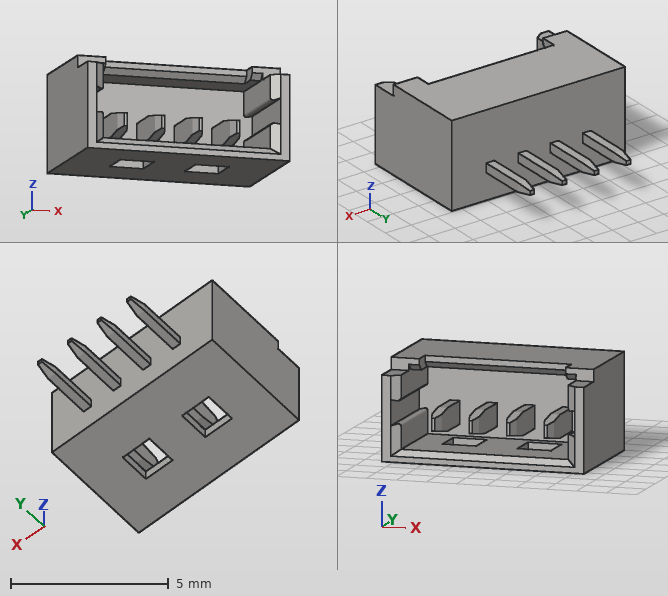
import cadquery as cq

BODY_WIDTH = 6.75
BODY_DEPTH = 4.2
BODY_HEIGHT = 3.2

SIDE_WALL = 0.59
FLOOR = 0.4
ROOF = 0.4
CAVITY_DEPTH = 2.95
LEAD_IN = 0.2
SIDE_LEAD_IN = 0.28
CAVITY_WIDTH = BODY_WIDTH - 2 * SIDE_WALL
CAVITY_TOP = BODY_HEIGHT - ROOF

STEP_DEPTH = 1.0
NOTCH_WIDTH = 4.88
NOTCH_DEPTH = 1.6

GROOVE_DEPTH = SIDE_LEAD_IN
GROOVE_BOTTOM = 1.18
GROOVE_TOP = 2.02
GROOVE_TAPER = 0.05
LIP_RADIUS = 0.09

WINDOW_SIZE = 1.12
WINDOW_FRONT = 1.45

PIN_COUNT = 4
PITCH = 1.25
PIN_THICKNESS = 0.32
PIN_Z = 1.155
BLADE_HEIGHT = 0.76
BLADE_TIP_Y = 0.7
BLADE_TIP_THICKNESS = 0.1
BLADE_TIP_HEIGHT = 0.42
BLADE_SIDE_TAPER = 0.38
BLADE_TOP_TAPER = 1.0
TAIL_HEIGHT = 0.34
TAIL_END_Y = 6.5
TAIL_TAPER = 0.57
TAIL_TIP_THICKNESS = 0.17
TAIL_TIP_HEIGHT = 0.15


def block(width, y_start, y_end, z_start, z_end, x_center=0):
    """Box centred on x_center, spanning the given Y and Z ranges."""
    box = cq.Workplane("XY").box(width, y_end - y_start, z_end - z_start, centered=(True, False, False))
    return box.translate((x_center, y_start, z_start))


def extrude_along_x(points, width):
    """Prism centred on X = 0 from a (Y, Z) outline."""
    return cq.Workplane("YZ").polyline(points).close().extrude(width / 2, both=True)


def extrude_along_z(points, z_start, z_end):
    """Prism between two heights from an (X, Y) outline."""
    return cq.Workplane("XY").workplane(offset=z_start).polyline(points).close().extrude(z_end - z_start)


def roof_lead_in(width, edge_y):
    """Wedge that bevels the lower front edge of the roof at edge_y."""
    return extrude_along_x(
        [(edge_y, CAVITY_TOP), (edge_y, CAVITY_TOP + LEAD_IN), (edge_y + LEAD_IN, CAVITY_TOP)],
        width,
    )


def mouth_lead_in():
    """Flared mouth: bevels both side walls and the floor, meeting in mitred corners."""
    inner_x = CAVITY_WIDTH / 2
    outer_x = inner_x + SIDE_LEAD_IN
    mouth = (
        cq.Workplane("XZ")
        .moveTo(-outer_x, FLOOR - LEAD_IN)
        .lineTo(outer_x, FLOOR - LEAD_IN)
        .lineTo(outer_x, CAVITY_TOP)
        .lineTo(-outer_x, CAVITY_TOP)
        .close()
        .workplane(offset=-LEAD_IN)
        .moveTo(-inner_x, FLOOR)
        .lineTo(inner_x, FLOOR)
        .lineTo(inner_x, CAVITY_TOP)
        .lineTo(-inner_x, CAVITY_TOP)
        .close()
    )
    return mouth.loft(ruled=True)


def side_groove():
    """Groove in the +X side wall, narrowing slightly towards its rounded lips."""
    wall_x = CAVITY_WIDTH / 2
    bottom_x = wall_x + GROOVE_DEPTH
    lip_x = wall_x + LIP_RADIUS
    lip_low = GROOVE_BOTTOM + GROOVE_TAPER
    lip_high = GROOVE_TOP - GROOVE_TAPER
    outline = (
        cq.Workplane("XZ")
        .moveTo(bottom_x, GROOVE_BOTTOM)
        .lineTo(bottom_x, GROOVE_TOP)
        .lineTo(lip_x, lip_high)
        .radiusArc((wall_x, lip_high + LIP_RADIUS), LIP_RADIUS)
        .lineTo(wall_x, lip_low - LIP_RADIUS)
        .radiusArc((lip_x, lip_low), LIP_RADIUS)
        .close()
    )
    return outline.extrude(-CAVITY_DEPTH)


def make_housing():
    body = block(BODY_WIDTH, 0, BODY_DEPTH, 0, BODY_HEIGHT)
    body = body.cut(block(CAVITY_WIDTH, 0, CAVITY_DEPTH, FLOOR, CAVITY_TOP))
    body = body.cut(block(BODY_WIDTH, 0, STEP_DEPTH, CAVITY_TOP, BODY_HEIGHT))
    body = body.cut(block(NOTCH_WIDTH, 0, NOTCH_DEPTH, CAVITY_TOP, BODY_HEIGHT))
    body = body.cut(roof_lead_in(CAVITY_WIDTH, STEP_DEPTH))
    body = body.cut(roof_lead_in(NOTCH_WIDTH, NOTCH_DEPTH))
    body = body.cut(mouth_lead_in())
    groove = side_groove()
    body = body.cut(groove).cut(groove.mirror("YZ"))
    for window_x in (-PITCH, PITCH):
        window = block(WINDOW_SIZE, WINDOW_FRONT, WINDOW_FRONT + WINDOW_SIZE, 0, FLOOR, window_x)
        body = body.cut(window)
    return body


def tapered_bar(thickness, height, root_y, tip_y, tip_thickness, tip_height, side_taper, top_taper):
    """Bar along Y centred on PIN_Z, tapering to its tip in width and in height."""
    toward_root = 1 if root_y > tip_y else -1
    side_y = tip_y + toward_root * side_taper
    top_y = tip_y + toward_root * top_taper
    plan = [
        (-thickness / 2, root_y),
        (-thickness / 2, side_y),
        (-tip_thickness / 2, tip_y),
        (tip_thickness / 2, tip_y),
        (thickness / 2, side_y),
        (thickness / 2, root_y),
    ]
    profile = [
        (root_y, PIN_Z - height / 2),
        (top_y, PIN_Z - height / 2),
        (tip_y, PIN_Z - tip_height / 2),
        (tip_y, PIN_Z + tip_height / 2),
        (top_y, PIN_Z + height / 2),
        (root_y, PIN_Z + height / 2),
    ]
    plan_prism = extrude_along_z(plan, PIN_Z - height / 2, PIN_Z + height / 2)
    return plan_prism.intersect(extrude_along_x(profile, thickness))


def make_pin():
    """Tall blade reaching into the cavity, joined to a slim tail inside the back wall."""
    blade = tapered_bar(
        PIN_THICKNESS, BLADE_HEIGHT, BODY_DEPTH, BLADE_TIP_Y,
        BLADE_TIP_THICKNESS, BLADE_TIP_HEIGHT, BLADE_SIDE_TAPER, BLADE_TOP_TAPER,
    )
    tail = tapered_bar(
        PIN_THICKNESS, TAIL_HEIGHT, CAVITY_DEPTH, TAIL_END_Y,
        TAIL_TIP_THICKNESS, TAIL_TIP_HEIGHT, TAIL_TAPER, TAIL_TAPER,
    )
    return blade.union(tail)


result = make_housing()
pin = make_pin()
for index in range(PIN_COUNT):
    pin_x = (index - (PIN_COUNT - 1) / 2) * PITCH
    result = result.union(pin.translate((pin_x, 0, 0)))